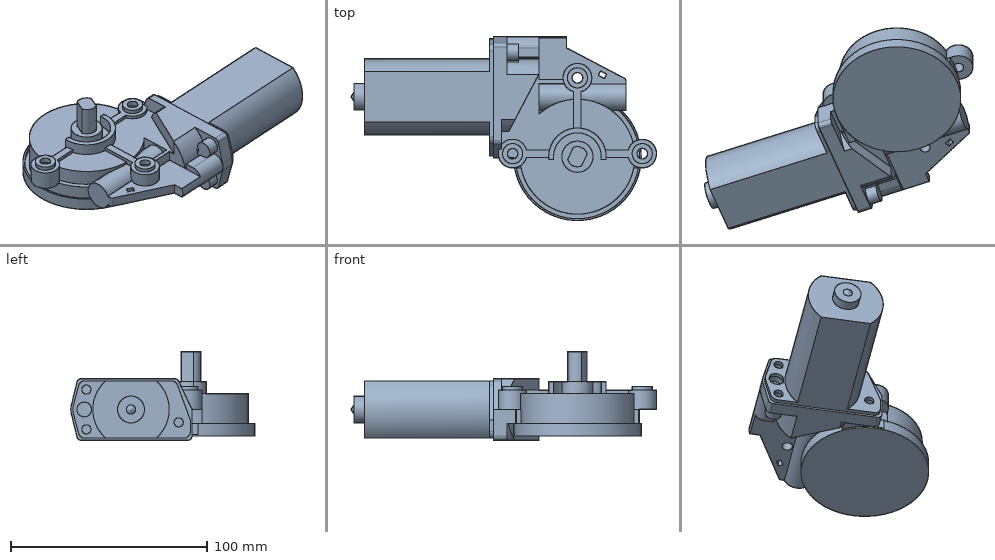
import cadquery as cq
import math


motor_y = 30.5
motor_radius = 19.5
motor_half_height = 14.7
can_end_x = -108.7
end_boss_radius = 6.9
end_boss_length = 5.3
plate_thickness = 2.0
plate_corner_radius = 3.5
plate_apex_y = 60.5
plate_rear_y = 56.6
plate_top_y = 7.6
plate_side_y = 0.3
plate_slope_end_z = -5.3

armature_radius = 2.3
tip_x = -115.6

flange_x = -42.9
flange_thickness = 7.0
thin_flange_thickness = 4.2
thin_flange_y = 19.0
flange_half_height = 15.8
flange_side_y = -0.6
flange_corner_radius = 2.2
flange_apex_radius = 9.4
flange_apex_y = 61.6
flange_rear_y = 57.7
flange_top_y = 6.9
flange_slope_end_z = 0.0
socket_end_x = -19.5
socket_corner_y = 12.8
socket_corner_x = -35.1
socket_top_edge_y = 42.5
screw_hole_radius = 2.3
flange_hole_depth = 3.9
cable_hole_radius = 3.7
cable_y = 54.5
upper_screw_y = 53.3
upper_screw_z = 10.1
lower_screw_y = 6.2
lower_screw_z = -6.5
screw_boss_radius = 4.2
screw_web_y = 47.0
screw_web_half_height = 7.8
screw_boss_length = 5.8

drum_radius = 29.3
wall_radius = 31.7
skirt_top_z = -8.9
drum_top_z = 8.1

cap_thickness = 1.0
cap_radius = wall_radius + cap_thickness
cap_bottom_z = -13.5
cap_top_z = -7.0
cap_floor_z = cap_bottom_z + cap_thickness
cap_gap_front_y = -3.7
cap_gap_rear_y = 17.2

boss_x = 33.0
side_boss_y = 1.5
rear_boss_y = 40.2
boss_radius = 7.3
boss_bottom_z = 0.0
boss_top_z = 9.8
bush_radius = 5.1
bush_bore_radius = 2.7
bush_bottom_z = 9.0
bush_top_z = 11.9
rib_width = 3.9
collar_radius = 14.7
collar_inner_radius = 12.2
collar_end_y = -1.4
hub_radius = 8.0
hub_top_z = 14.2

worm_end_x = 24.8
worm_radius = 7.0
bracket_half_thickness = 2.7
bracket_step_x = -5.5
bracket_corner_y = 39.6
bracket_corner_radius = 1.5
duct_radius = 5.8
duct_y = 55.5
duct_front_y = 50.9
stiffener_y = 38.4
stiffener_width = 2.0
window_x = 12.8
window_y = 41.8
window_length = 3.5
window_width = 2.5

shaft_radius = 5.1
shaft_flat_distance = 3.9
shaft_angle = -25.0
shaft_top_z = 29.5

flange_back_x = flange_x + flange_thickness
plate_x = flange_x - plate_thickness
end_boss_x = can_end_x - end_boss_length
socket_start_x = flange_x + thin_flange_thickness
boss_centers = [(-boss_x, side_boss_y), (boss_x, side_boss_y), (0, rear_boss_y)]
screw_points = [
    (upper_screw_y, upper_screw_z),
    (upper_screw_y, -upper_screw_z),
    (lower_screw_y, lower_screw_z),
]


def box(x0, x1, y0, y1, z0, z1):
    return cq.Workplane("XY").box(x1 - x0, y1 - y0, z1 - z0, centered=False).translate((x0, y0, z0))


def rod(x0, x1, y, z, radius):
    """Cylinder along X."""
    return cq.Workplane("YZ", origin=(x0, 0, 0)).center(y, z).circle(radius).extrude(x1 - x0)


def post(x, y, radius, z0, z1):
    """Cylinder along Z."""
    return cq.Workplane("XY", origin=(x, y, z0)).circle(radius).extrude(z1 - z0)


def slab(points, z0, z1):
    """Flat piece with an outline in X and Y."""
    return cq.Workplane("XY", origin=(0, 0, z0)).polyline(points).close().extrude(z1 - z0)


def flange_blank(x0, x1, half_height, apex_y, rear_y, top_y, side_y, side_z, corner_radius):
    """Six-sided flange standing across the motor axis, with rounded corners."""
    outline = [
        (apex_y, 0),
        (rear_y, half_height),
        (top_y, half_height),
        (side_y, side_z),
        (side_y, -half_height),
        (rear_y, -half_height),
    ]
    blank = cq.Workplane("YZ", origin=(x0, 0, 0)).polyline(outline).close().extrude(x1 - x0)
    blank = blank.edges("|X and (>Z or <Z)").fillet(corner_radius)
    return blank.edges("|X and >Y").fillet(flange_apex_radius)


def flat_sided_rod(x0, x1, half_height):
    """Round of the motor radius with flats above and below."""
    flats = box(x0, x1, motor_y - motor_radius, motor_y + motor_radius, -half_height, half_height)
    return rod(x0, x1, motor_y, 0, motor_radius).intersect(flats)


def flange_holes(x0, x1):
    holes = rod(x0, x1, cable_y, 0, cable_hole_radius)
    for y, z in screw_points:
        holes = holes.union(rod(x0, x1, y, z, screw_hole_radius))
    return holes


def make_motor():
    plate = flange_blank(
        plate_x, flange_x, motor_half_height, plate_apex_y, plate_rear_y, plate_top_y,
        plate_side_y, plate_slope_end_z, plate_corner_radius,
    )
    can = flat_sided_rod(can_end_x, plate_x, motor_half_height)
    end_boss = rod(end_boss_x, can_end_x, motor_y, 0, end_boss_radius)
    bore = rod(end_boss_x, can_end_x, motor_y, 0, armature_radius)
    return plate.cut(flange_holes(plate_x, flange_x)).union(can).union(end_boss).cut(bore)


def make_armature():
    profile = [
        (tip_x, 0),
        (end_boss_x, armature_radius),
        (can_end_x, armature_radius),
        (can_end_x, 0),
    ]
    half = cq.Workplane("XY").polyline(profile).close()
    return half.revolve(360, (0, 0, 0), (1, 0, 0)).translate((0, motor_y, 0))


def make_flange():
    flange = flange_blank(
        flange_x, flange_back_x, flange_half_height, flange_apex_y, flange_rear_y, flange_top_y,
        flange_side_y, flange_slope_end_z, flange_corner_radius,
    )
    relief = box(
        socket_start_x, flange_back_x,
        flange_side_y, thin_flange_y, drum_top_z, flange_half_height,
    )
    return flange.cut(relief)


def make_socket():
    """Motor socket, cut off at a slant beside the drum."""
    socket = flat_sided_rod(socket_start_x, socket_end_x, flange_half_height)
    slope = (socket_end_x - socket_corner_x) / (socket_top_edge_y - socket_corner_y)
    front_y = motor_y - motor_radius
    rear_y = motor_y + motor_radius
    outline = [
        (socket_start_x, front_y),
        (socket_corner_x + slope * (front_y - socket_corner_y), front_y),
        (socket_end_x, socket_top_edge_y),
        (socket_end_x, rear_y),
        (socket_start_x, rear_y),
    ]
    return socket.intersect(slab(outline, -flange_half_height, flange_half_height))


def make_screw_bosses():
    end_x = flange_back_x + screw_boss_length
    upper = rod(flange_back_x, end_x, upper_screw_y, upper_screw_z, screw_boss_radius)
    web = box(flange_back_x, end_x, screw_web_y, upper_screw_y, -screw_web_half_height, screw_web_half_height)
    return upper.union(upper.mirror("XY")).union(web)


def make_duct():
    """Cable duct along the rear; beyond the socket it drops to the level of the bracket."""
    def run(x0, x1):
        web = box(x0, x1, duct_front_y, duct_y, -duct_radius, duct_radius)
        return rod(x0, x1, duct_y, 0, duct_radius).union(web)

    low_run = run(socket_end_x, bracket_step_x).intersect(
        box(socket_end_x, bracket_step_x, duct_front_y, duct_y + duct_radius,
            -bracket_half_thickness, bracket_half_thickness)
    )
    gap_floor = box(
        flange_back_x, socket_end_x, motor_y, duct_front_y, -bracket_half_thickness, bracket_half_thickness
    )
    return run(flange_back_x, socket_end_x).union(low_run).union(gap_floor)


def make_bracket():
    outline = [
        (socket_end_x, motor_y),
        (socket_end_x, duct_y),
        (bracket_step_x, duct_y),
        (worm_end_x, bracket_corner_y),
        (worm_end_x, motor_y),
    ]
    bracket = slab(outline, -bracket_half_thickness, bracket_half_thickness)
    corner = cq.selectors.NearestToPointSelector((worm_end_x, bracket_corner_y, 0))
    bracket = bracket.edges(corner).fillet(bracket_corner_radius)
    slant = math.degrees(math.atan2(bracket_corner_y - duct_y, worm_end_x - bracket_step_x))
    window = (
        cq.Workplane("XY")
        .box(window_length, window_width, 2 * bracket_half_thickness)
        .rotate((0, 0, 0), (0, 0, 1), slant)
        .translate((window_x, window_y, 0))
    )
    stiffener = box(
        socket_end_x, 0,
        stiffener_y - stiffener_width / 2, stiffener_y + stiffener_width / 2,
        0, drum_top_z,
    )
    worm_tube = rod(socket_end_x, worm_end_x, motor_y, 0, worm_radius)
    return bracket.cut(window).union(worm_tube).union(stiffener)


def make_cap_gap():
    """Block below the left boss that fills the gap in the wall of the cap."""
    return box(-cap_radius, 0, cap_gap_front_y, cap_gap_rear_y, cap_floor_z, cap_top_z)


def make_drum():
    drum = post(0, 0, drum_radius, cap_floor_z, drum_top_z)
    skirt = post(0, 0, wall_radius, cap_floor_z, skirt_top_z)
    rear_half = box(
        -wall_radius, wall_radius, side_boss_y - boss_radius, wall_radius, skirt_top_z, boss_bottom_z
    )
    rear_wall = post(0, 0, wall_radius, skirt_top_z, boss_bottom_z).intersect(rear_half)
    outline = [
        (socket_start_x, flange_side_y),
        (socket_start_x, thin_flange_y),
        (socket_end_x, socket_top_edge_y),
        (socket_end_x, flange_side_y),
    ]
    filling = slab(outline, cap_top_z, drum_top_z)
    return drum.union(skirt).union(rear_wall).union(filling).union(make_cap_gap())


def make_ribs():
    half_width = rib_width / 2
    collar_mid_radius = (collar_inner_radius + collar_radius) / 2
    ribs = box(-half_width, half_width, collar_mid_radius, rear_boss_y, 0, boss_top_z)
    for side in (-1, 1):
        x0, x1 = sorted((side * collar_mid_radius, side * boss_x))
        ribs = ribs.union(box(x0, x1, side_boss_y - half_width, side_boss_y + half_width, 0, boss_top_z))
    return ribs


def make_collar():
    ring = post(0, 0, collar_radius, 0, hub_top_z).cut(post(0, 0, collar_inner_radius, 0, hub_top_z))
    rear = box(-collar_radius, collar_radius, collar_end_y, collar_radius, 0, hub_top_z)
    return ring.intersect(rear)


def make_output_shaft():
    bar = post(0, 0, shaft_radius, cap_floor_z, shaft_top_z)
    flats = box(
        -shaft_flat_distance, shaft_flat_distance, -shaft_radius, shaft_radius, cap_floor_z, shaft_top_z
    )
    return bar.intersect(flats.rotate((0, 0, 0), (0, 0, 1), shaft_angle))


def make_bush(x, y):
    bore = post(x, y, bush_bore_radius, bush_bottom_z, bush_top_z)
    return post(x, y, bush_radius, bush_bottom_z, bush_top_z).cut(bore)


def make_housing():
    housing = make_drum()
    parts = [make_flange(), make_socket(), make_screw_bosses(), make_duct(), make_bracket()]
    parts += [make_ribs(), make_collar(), post(0, 0, hub_radius, 0, hub_top_z)]
    for x, y in boss_centers:
        parts.append(post(x, y, boss_radius, boss_bottom_z, boss_top_z))
    for part in parts:
        housing = housing.union(part)
    for x, y in boss_centers:
        housing = housing.cut(post(x, y, bush_bore_radius, boss_bottom_z, boss_top_z))
        housing = housing.cut(post(x, y, bush_radius, bush_bottom_z, boss_top_z))
    rear_bore = post(0, rear_boss_y, bush_bore_radius, -worm_radius, boss_bottom_z)
    housing = housing.cut(rear_bore).cut(flange_holes(flange_x, flange_x + flange_hole_depth))
    return housing.cut(make_output_shaft())


def make_cap():
    cap = post(0, 0, cap_radius, cap_bottom_z, cap_top_z)
    inside = post(0, 0, wall_radius, cap_floor_z, cap_top_z)
    return cap.cut(inside).cut(make_cap_gap())


motor = make_motor()
armature = make_armature()
housing = make_housing()
cap = make_cap()
output_shaft = make_output_shaft()
bushes = [make_bush(x, y) for x, y in boss_centers]

result = cq.Compound.makeCompound(
    [motor.val(), armature.val(), housing.val(), cap.val(), output_shaft.val()]
    + [bush.val() for bush in bushes]
)